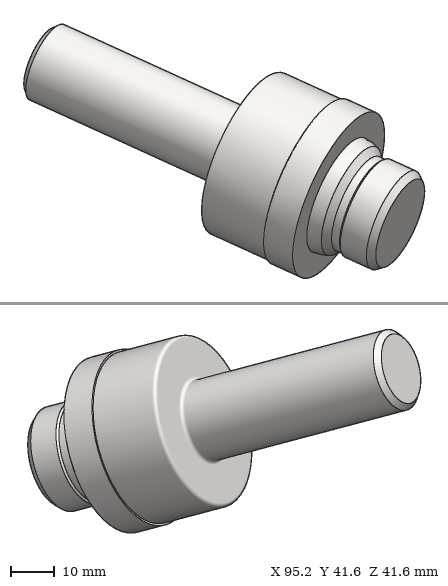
import cadquery as cq
import math

total_length = 95.25
body_start = 54.0
flange_start = 71.15
flange_end = 78.9
collar_cone_start = 82.3
groove_start = 84.0
nose_start = 86.6

shank_radius = 9.5
body_radius = 20.3
flange_radius = 20.8
collar_radius = 14.4
groove_radius = 11.9
nose_radius = 12.4

shank_chamfer = 1.3
shank_root_fillet = 0.9
body_edge_fillet = 0.9
nose_edge_length = 1.7
nose_edge_depth = 1.3

cone_top_radius = groove_radius + groove_start - collar_cone_start
groove_end = nose_start - (nose_radius - groove_radius)

diagonal = math.sqrt(0.5)
root_centre = (body_start - shank_root_fillet, shank_radius + shank_root_fillet)
root_middle = (
    root_centre[0] + shank_root_fillet * diagonal,
    root_centre[1] - shank_root_fillet * diagonal,
)
edge_centre = (body_start + body_edge_fillet, body_radius - body_edge_fillet)
edge_middle = (
    edge_centre[0] - body_edge_fillet * diagonal,
    edge_centre[1] + body_edge_fillet * diagonal,
)

collar_run = collar_cone_start - flange_end
collar_drop = collar_radius - cone_top_radius
collar_arc_radius = (collar_run**2 + collar_drop**2) / (2 * collar_drop)
collar_half_angle = math.atan2(collar_drop, collar_run)
collar_middle = (
    flange_end + collar_arc_radius * math.sin(collar_half_angle),
    collar_radius - collar_arc_radius * (1 - math.cos(collar_half_angle)),
)

profile = (
    cq.Workplane("XY")
    .moveTo(0, 0)
    .lineTo(0, shank_radius - shank_chamfer)
    .lineTo(shank_chamfer, shank_radius)
    .lineTo(root_centre[0], shank_radius)
    .threePointArc(root_middle, (body_start, root_centre[1]))
    .lineTo(body_start, edge_centre[1])
    .threePointArc(edge_middle, (edge_centre[0], body_radius))
    .lineTo(flange_start, body_radius)
    .lineTo(flange_start, flange_radius)
    .lineTo(flange_end, flange_radius)
    .lineTo(flange_end, collar_radius)
    .threePointArc(collar_middle, (collar_cone_start, cone_top_radius))
    .lineTo(groove_start, groove_radius)
    .lineTo(groove_end, groove_radius)
    .lineTo(nose_start, nose_radius)
    .lineTo(total_length - nose_edge_length, nose_radius)
    .lineTo(total_length, nose_radius - nose_edge_depth)
    .lineTo(total_length, 0)
    .close()
)

result = profile.revolve(360, (0, 0, 0), (1, 0, 0))